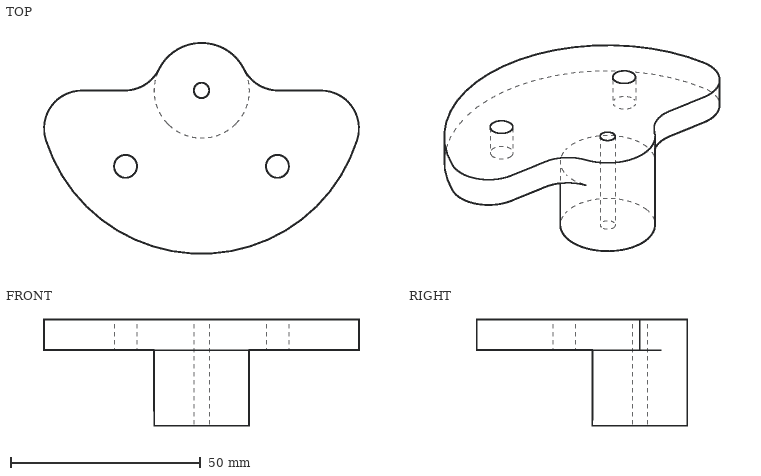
import cadquery as cq
import math

overall_width = 82.9
plate_thickness = 8.0
boss_radius = 12.5
boss_length = 20.0
corner_radius = 10.0
neck_radius = 10.0
pivot_hole_diameter = 4.0
side_hole_diameter = 6.0
side_hole_offset = 20.0

corner_x = overall_width / 2 - corner_radius
corner_distance = math.hypot(corner_x, corner_radius)
rim_radius = corner_distance + corner_radius
rim_end_x = corner_x * rim_radius / corner_distance
rim_end_y = -corner_radius * rim_radius / corner_distance

neck_distance = boss_radius + neck_radius
neck_x = math.sqrt(neck_distance**2 - neck_radius**2)
head_end_x = neck_x * boss_radius / neck_distance
head_end_y = neck_radius * boss_radius / neck_distance


def point_on_arc(center_x, center_y, radius, angle):
    """Point at an angle in degrees on a circle."""
    radians = math.radians(angle)
    return (center_x + radius * math.cos(radians), center_y + radius * math.sin(radians))


neck_mid = point_on_arc(neck_x, neck_radius, neck_radius, 240)
corner_mid = point_on_arc(corner_x, -corner_radius, corner_radius, 45)


def make_plate():
    return (
        cq.Workplane("XY")
        .moveTo(-head_end_x, head_end_y)
        .threePointArc((0, boss_radius), (head_end_x, head_end_y))
        .threePointArc(neck_mid, (neck_x, 0))
        .lineTo(corner_x, 0)
        .threePointArc(corner_mid, (rim_end_x, rim_end_y))
        .threePointArc((0, -rim_radius), (-rim_end_x, rim_end_y))
        .threePointArc((-corner_mid[0], corner_mid[1]), (-corner_x, 0))
        .lineTo(-neck_x, 0)
        .threePointArc((-neck_mid[0], neck_mid[1]), (-head_end_x, head_end_y))
        .close()
        .extrude(plate_thickness)
    )


def make_boss():
    return cq.Workplane("XY").circle(boss_radius).extrude(-boss_length)


def drill_holes(body):
    side_holes = [(side * side_hole_offset, -side_hole_offset) for side in (-1, 1)]
    top_plane = cq.Workplane("XY").workplane(offset=plate_thickness)
    full_height = plate_thickness + boss_length
    pivot_cutter = top_plane.circle(pivot_hole_diameter / 2).extrude(-full_height)
    side_cutters = top_plane.pushPoints(side_holes).circle(side_hole_diameter / 2).extrude(-plate_thickness)
    return body.cut(pivot_cutter).cut(side_cutters)


result = drill_holes(make_plate().union(make_boss()))